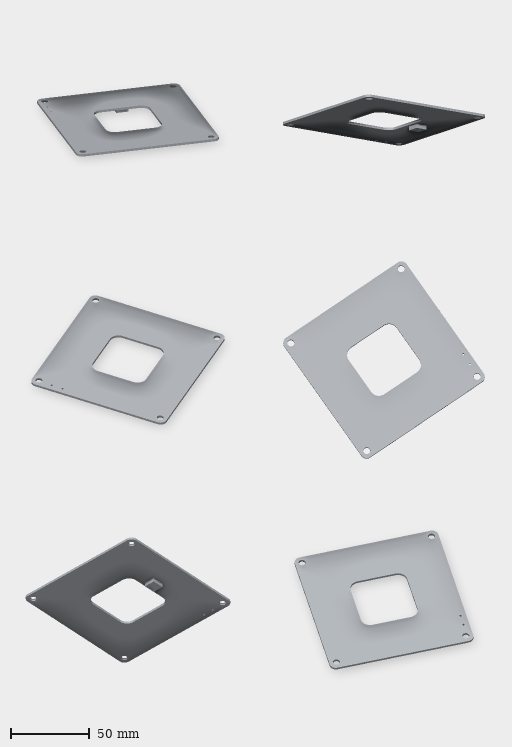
import cadquery as cq

board_side = 94.0
board_thickness = 1.6
board_corner_radius = 4.0

overall_height = 4.2

window_side = 37.0
window_corner_radius = 6.0

mount_hole_diameter = 4.3
mount_hole_pitch = 84.8

lead_hole_diameter = 1.3
lead_hole_spacing = 7.5
lead_hole_center_x = -29.3
lead_hole_center_y = -43.3

connector_length = 7.5
connector_width = 8.1
connector_height = overall_height - board_thickness
connector_center_x = -24.5
connector_center_y = 2.5
connector_back_x = connector_center_x - connector_length / 2
connector_front_x = connector_center_x + connector_length / 2

contact_pitch = 2.0
contact_width = 0.5
contact_thickness = 0.4
contact_board_gap = 0.2
contact_overhang = 0.5

tab_length = 2.8
tab_thickness = 0.3
tab_overhang = 0.4


def make_board():
    """Square plate with a rounded window and through holes."""
    board = (
        cq.Workplane("XY")
        .rect(board_side, board_side)
        .extrude(board_thickness)
        .edges("|Z")
        .fillet(board_corner_radius)
    )
    window = (
        cq.Workplane("XY")
        .rect(window_side, window_side)
        .extrude(board_thickness)
        .edges("|Z")
        .fillet(window_corner_radius)
    )
    mount_holes = (
        cq.Workplane("XY")
        .rect(mount_hole_pitch, mount_hole_pitch, forConstruction=True)
        .vertices()
        .circle(mount_hole_diameter / 2)
        .extrude(board_thickness)
    )
    lead_holes = (
        cq.Workplane("XY")
        .center(lead_hole_center_x, lead_hole_center_y)
        .rarray(lead_hole_spacing, 0.9, 2, 1)
        .circle(lead_hole_diameter / 2)
        .extrude(board_thickness)
    )
    return board.cut(window).cut(mount_holes).cut(lead_holes)


def make_connector():
    """One solid hanging from the underside of the board at Z = 0."""
    connector = (
        cq.Workplane("XY")
        .center(connector_center_x, connector_center_y)
        .rect(connector_length, connector_width)
        .extrude(-connector_height)
    )

    contact_length = connector_length / 2 + contact_overhang
    contacts = (
        cq.Workplane("XY")
        .workplane(offset=-contact_board_gap)
        .center(connector_back_x - contact_overhang + contact_length / 2, connector_center_y)
        .rarray(0.9, contact_pitch, 1, 2)
        .rect(contact_length, contact_width)
        .extrude(-contact_thickness)
    )

    tabs = (
        cq.Workplane("XY")
        .center(connector_front_x - tab_length / 2, connector_center_y)
        .rect(tab_length, connector_width + 2 * tab_overhang)
        .extrude(-tab_thickness)
    )
    return connector.union(contacts).union(tabs)


board = make_board()
connector = make_connector()
result = cq.Compound.makeCompound([board.val(), connector.val()])